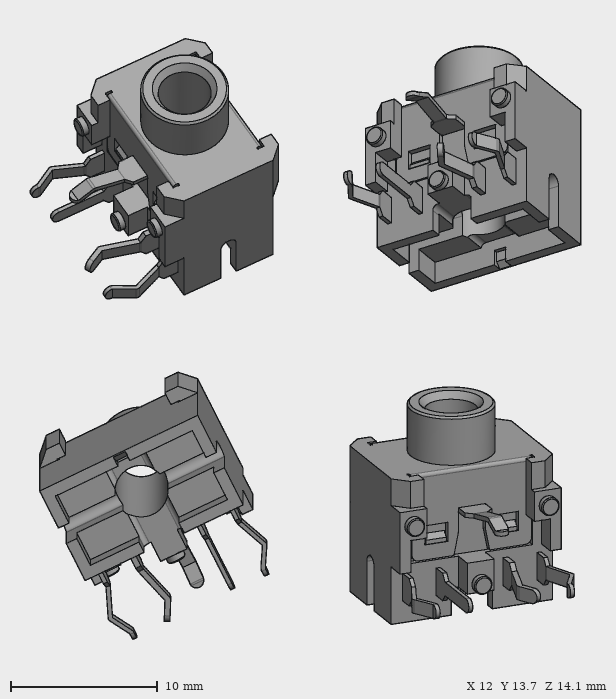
import cadquery as cq
import math


body_width = 12.0
body_depth = 7.0
body_height = 10.6
half_width = body_width / 2
half_depth = body_depth / 2

flange_inner_x = 4.0
flange_reach = 1.0
flange_chamfer = 1.0
flange_bottom_z = 6.5
foot_front_y = -5.0
foot_top_z = 8.65
leg_inner_x = 5.18
leg_bottom_z = 4.18

pin_pitch = 2.5

peg_diameter = 1.3
peg_length = 0.5
peg_chamfer = 0.08
peg_x = 2 * pin_pitch
upper_peg_z = 7.57
block_half_width = 1.0
block_bottom_z = 1.96

barrel_diameter = 6.0
barrel_length = 3.5
barrel_chamfer = 0.15
bore_diameter = 3.6
bore_lead_in = 0.4
bore_lead_in_depth = 0.5
total_height = body_height + barrel_length

cover_thickness = 0.42
cover_half_width = 4.5
cover_edge_radius = 0.25
cover_inner_y = half_depth - cover_thickness
groove_half_width = 4.65
groove_clearance = 0.06
groove_outer_y = half_depth + groove_clearance
plate_half_width = 4.44
plate_bottom_z = 4.32
plate_corner_radius = 0.45
recess_half_width = 4.51
recess_bottom_z = 4.22

tongue_half_width = 1.0
tongue_half_base = 1.33
tongue_taper_z = 5.95
window_x = 2.625
window_width = 1.72
window_bottom_z = 5.41
window_top_z = 6.8
catch_width = 1.52
catch_reach = 0.38
catch_front_z = 5.72
catch_back_z = 6.08

wall_thickness = 0.8
underside_depth = 1.65
slot_width = 1.2
slot_top_z = 3.8
arch_half_width = 1.52
arch_corner_radius = 0.4
notch_width = 0.9
notch_height = 1.13
notch_depth = 0.3
notch_slope = 0.4

contact_embed = 0.3
contact_thickness = 0.3
heavy_contact_thickness = 0.4
ground_thickness = 0.32
root_half = 1.0
root_end = 4.6
pin_half = 0.5
pin_start = 5.0
pin_z = 2.6
ground_z = 7.58
path_start = half_depth - contact_embed

outward = cq.Vector(0, -1, 0)

side_pin_path = [(path_start, 0), (pin_start, 0), (7.11, 0.866), (8.6, 0), (9.19, 0)]
straight_pin_path = [(path_start, 0), (9.02, 0)]
bent_pin_path = [(path_start, 0), (pin_start, 0), (7.63, -0.75), (9.08, 0.03)]
ground_path = [(path_start, 0), (pin_start, 0), (7.36, 0.54), (8.6, 0), (8.98, 0)]


def span_box(x0, x1, y0, y1, z0, z1):
    """Box between two opposite corners."""
    return cq.Workplane("XY").box(x1 - x0, y1 - y0, z1 - z0, centered=False).translate((x0, y0, z0))


def both_sides(shape):
    """The shape together with its mirror image across X = 0."""
    return shape.union(shape.mirror("YZ"))


def make_flange():
    """Corner flange at the front +X corner, with a chamfered outer edge."""
    front_y = -half_depth - flange_reach
    return (
        cq.Workplane("XY", origin=(0, 0, flange_bottom_z))
        .moveTo(flange_inner_x, 0)
        .lineTo(flange_inner_x, front_y)
        .lineTo(half_width - flange_chamfer, front_y)
        .lineTo(half_width, front_y + flange_chamfer)
        .lineTo(half_width, 0)
        .close()
        .extrude(body_height - flange_bottom_z)
    )


def make_housing():
    """Main block with four corner flanges, front feet and the front centre block."""
    body = span_box(-half_width, half_width, -half_depth, half_depth, 0, body_height)
    flange = both_sides(make_flange())
    foot = span_box(flange_inner_x, half_width, foot_front_y, -half_depth, flange_bottom_z, foot_top_z)
    leg = span_box(leg_inner_x, half_width, foot_front_y, -half_depth, leg_bottom_z, flange_bottom_z)
    block = span_box(
        -block_half_width, block_half_width, foot_front_y, -half_depth, block_bottom_z, recess_bottom_z
    )
    return body.union(flange).union(flange.mirror("XZ")).union(both_sides(foot.union(leg))).union(block)


def make_peg(x, z):
    """Round locating peg pointing to -Y."""
    return (
        cq.Workplane("XZ", origin=(x, foot_front_y, z))
        .circle(peg_diameter / 2)
        .extrude(peg_length)
        .faces("<Y")
        .chamfer(peg_chamfer)
    )


def make_cover_seat():
    """Room for the cover: a groove at the front and back, and an open recess at the front."""
    groove = span_box(
        -groove_half_width, groove_half_width, -groove_outer_y, -cover_inner_y, flange_bottom_z, body_height
    )
    recess = span_box(
        -recess_half_width, recess_half_width, -half_depth, -cover_inner_y, recess_bottom_z, flange_bottom_z
    )
    return groove.union(groove.mirror("XZ")).union(recess)


def make_cover_flap():
    """Upper part of the front cover plate, rounded along its top edge."""
    flap = span_box(
        -cover_half_width, cover_half_width, -half_depth, -cover_inner_y, flange_bottom_z, body_height
    )
    return flap.edges("<Y and >Z").fillet(cover_edge_radius)


def make_tongue_opening():
    """Flared opening left in the front plate by the bent-out ground tongue."""
    return (
        cq.Workplane("XZ", origin=(0, -cover_inner_y, 0))
        .moveTo(-tongue_half_base, plate_bottom_z)
        .lineTo(tongue_half_base, plate_bottom_z)
        .lineTo(tongue_half_width, tongue_taper_z)
        .lineTo(tongue_half_width, ground_z)
        .lineTo(-tongue_half_width, ground_z)
        .lineTo(-tongue_half_width, tongue_taper_z)
        .close()
        .extrude(cover_thickness)
    )


def make_window():
    """Window through the front plate."""
    return span_box(
        window_x - window_width / 2,
        window_x + window_width / 2,
        -half_depth,
        -cover_inner_y,
        window_bottom_z,
        window_top_z,
    )


def make_catch():
    """Wedge-shaped catch of the housing that sits in a window."""
    front_y = -cover_inner_y - catch_reach
    return (
        cq.Workplane("YZ", origin=(window_x - catch_width / 2, 0, 0))
        .moveTo(-cover_inner_y, window_bottom_z)
        .lineTo(front_y, window_bottom_z)
        .lineTo(front_y, catch_front_z)
        .lineTo(-cover_inner_y, catch_back_z)
        .close()
        .extrude(catch_width)
    )


def make_cover():
    """Front and back cover plates with the front openings and the catches inside them."""
    flap = make_cover_flap()
    plate = span_box(
        -plate_half_width, plate_half_width, -half_depth, -cover_inner_y, plate_bottom_z, flange_bottom_z
    )
    plate = plate.edges("|Y and <Z").fillet(plate_corner_radius)
    front = flap.union(plate).cut(make_tongue_opening()).cut(both_sides(make_window()))
    return front.union(both_sides(make_catch())).union(flap.mirror("XZ"))


def make_barrel():
    """Round barrel on top of the housing."""
    return (
        cq.Workplane("XY", origin=(0, 0, body_height))
        .circle(barrel_diameter / 2)
        .extrude(barrel_length)
        .faces(">Z")
        .chamfer(barrel_chamfer)
    )


def make_bore():
    """Through bore with a conical lead-in at the mouth."""
    radius = bore_diameter / 2
    return (
        cq.Workplane("XZ")
        .lineTo(radius, 0)
        .lineTo(radius, total_height - bore_lead_in_depth)
        .lineTo(radius + bore_lead_in, total_height)
        .lineTo(0, total_height)
        .close()
        .revolve(360, (0, 0, 0), (0, 1, 0))
    )


def make_side_slot():
    """Round-topped slot running through the housing along X, open at the bottom."""
    radius = slot_width / 2
    return (
        cq.Workplane("YZ", origin=(-half_width, 0, 0))
        .moveTo(-radius, 0)
        .lineTo(-radius, slot_top_z - radius)
        .threePointArc((0, slot_top_z), (radius, slot_top_z - radius))
        .lineTo(radius, 0)
        .close()
        .extrude(body_width)
    )


def make_underside():
    """Shallow cavity from below, the front archway into it and a notch in the back wall."""
    inner_x = half_width - wall_thickness
    inner_y = half_depth - wall_thickness
    cavity = span_box(-inner_x, inner_x, -inner_y, inner_y, 0, underside_depth)
    arch = span_box(-arch_half_width, arch_half_width, -half_depth, inner_y, 0, block_bottom_z)
    arch = arch.edges("|Y and >Z").fillet(arch_corner_radius)
    notch_back_y = inner_y + notch_depth
    notch = (
        cq.Workplane("YZ", origin=(-notch_width / 2, 0, 0))
        .moveTo(inner_y, 0)
        .lineTo(inner_y, notch_height)
        .lineTo(notch_back_y, notch_height)
        .lineTo(notch_back_y, notch_slope)
        .lineTo(notch_back_y + notch_slope, 0)
        .close()
        .extrude(notch_width)
    )
    return cavity.union(arch).union(notch)


def strip_outline(plane, path, thickness):
    """Bent strip around a centre line; bends are sharp inside and round outside."""
    half = thickness / 2
    headings = [math.atan2(b[1] - a[1], b[0] - a[0]) for a, b in zip(path, path[1:])]

    def shifted(point, heading, distance):
        """Point moved to the left of a heading."""
        return (point[0] - distance * math.sin(heading), point[1] + distance * math.cos(heading))

    def trace(work, side, points, directions):
        """Add one long edge of the strip; side is +1 for its left edge, -1 for its right."""
        for point, (before, after) in zip(points, directions):
            bisector = (before + after) / 2
            miter = half / math.cos((after - before) / 2)
            inner_side = math.copysign(1, after - before)
            inner = shifted(point, bisector, inner_side * miter)
            if side == inner_side:
                work = work.lineTo(*inner)
                continue
            first, last = (before, after) if side > 0 else (after, before)
            work = work.lineTo(*shifted(inner, first, side * thickness))
            middle = shifted(inner, bisector, side * thickness)
            work = work.threePointArc(middle, shifted(inner, last, side * thickness))
        return work

    bends = path[1:-1]
    turns = list(zip(headings, headings[1:]))
    work = cq.Workplane(plane).moveTo(*shifted(path[0], headings[0], half))
    work = trace(work, 1, bends, turns)
    work = work.lineTo(*shifted(path[-1], headings[-1], half))
    work = work.lineTo(*shifted(path[-1], headings[-1], -half))
    work = trace(work, -1, bends[::-1], turns[::-1])
    return work.lineTo(*shifted(path[0], headings[0], -half)).close()


def root_outline(plane):
    """Wide root narrowing through sloped shoulders to the pin width, left open at the tip."""
    return (
        cq.Workplane(plane)
        .moveTo(root_end, root_half)
        .lineTo(0, root_half)
        .lineTo(0, -root_half)
        .lineTo(root_end, -root_half)
        .lineTo(pin_start, -pin_half)
    )


def make_contact_body(plane, path, thickness, length, rounded):
    """Bent strip trimmed to the root and pin widths, with a square or rounded end at the given length."""
    strip = strip_outline(plane, path, thickness).extrude(root_half, both=True)
    outline = root_outline(cq.Plane(origin=plane.origin, xDir=plane.xDir, normal=plane.yDir))
    if rounded:
        outline = outline.lineTo(length - pin_half, -pin_half)
        outline = outline.threePointArc((length, 0), (length - pin_half, pin_half))
    else:
        outline = outline.lineTo(length, -pin_half).lineTo(length, pin_half)
    outline = outline.lineTo(pin_start, pin_half).close()
    return strip.intersect(outline.extrude(root_half, both=True))


def make_contact(origin, width_axis, path, thickness):
    """Contact running to -Y whose last stretch points straight out, with a rounded tip."""
    plane = cq.Plane(origin=origin, xDir=outward, normal=width_axis)
    return make_contact_body(plane, path, thickness, path[-1][0], True)


def make_slanted_contact(origin, width_axis, path, thickness):
    """Contact running to -Y whose last stretch is slanted, with a half-disc tip set along it."""
    plane = cq.Plane(origin=origin, xDir=outward, normal=width_axis)
    (last_u, last_v), (tip_u, tip_v) = path[-2:]
    heading = math.atan2(tip_v - last_v, tip_u - last_u)
    tip_center = (tip_u - pin_half * math.cos(heading), tip_v - pin_half * math.sin(heading))
    strip_path = path[:-1] + [tip_center]
    body = make_contact_body(plane, strip_path, thickness, tip_u, False)
    tip_plane = cq.Plane(
        origin=plane.toWorldCoords(tip_center),
        xDir=plane.xDir * math.cos(heading) + plane.yDir * math.sin(heading),
        normal=plane.yDir * math.cos(heading) - plane.xDir * math.sin(heading),
    )
    tip = (
        cq.Workplane(tip_plane)
        .moveTo(0, -pin_half)
        .threePointArc((pin_half, 0), (0, pin_half))
        .close()
        .extrude(thickness / 2, both=True)
    )
    return body.union(tip)


def make_contacts():
    """Four upright pins in a row and the flat ground contact above them."""
    up = (0, 0, 1)
    side_pin = make_contact((peg_x, 0, pin_z), up, side_pin_path, contact_thickness)
    straight_pin = make_contact((-pin_pitch, 0, pin_z), up, straight_pin_path, contact_thickness)
    bent_pin = make_slanted_contact((pin_pitch, 0, pin_z), up, bent_pin_path, heavy_contact_thickness)
    ground = make_contact((0, 0, ground_z), (-1, 0, 0), ground_path, ground_thickness)
    return [both_sides(side_pin), straight_pin, bent_pin, ground]


result = make_housing().cut(make_cover_seat()).union(make_cover()).union(make_barrel())
result = result.cut(make_bore()).cut(make_side_slot()).cut(make_underside())
result = result.union(both_sides(make_peg(peg_x, upper_peg_z))).union(make_peg(0, pin_z))
for contact in make_contacts():
    result = result.union(contact)